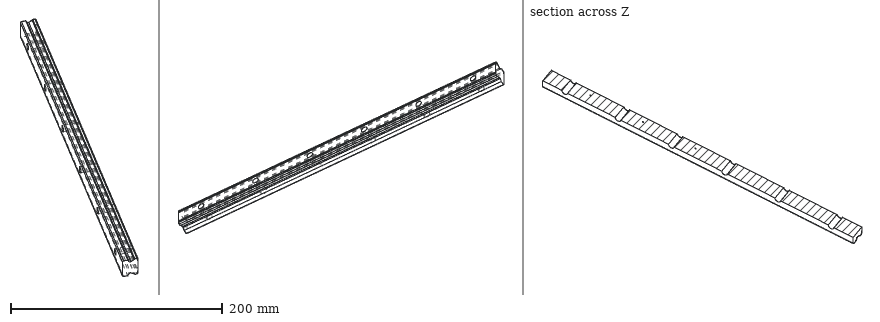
import cadquery as cq
import math

RAIL_LENGTH = 350.0
RAIL_HEIGHT = 15.5
RAIL_WIDTH = 20.0

FOOT_CHAMFER = 1.1
FOOT_FLANK_END = 5.25
GROOVE_FLOOR_DEPTH = 2.8
GROOVE_FLOOR_END = 8.3
RACEWAY_END = 11.55
HEAD_FLANK_START = 12.2
HEAD_CHAMFER = 1.2

RACEWAY_ANGLE = 30.0
RACEWAY_SLOPE = math.tan(math.radians(RACEWAY_ANGLE))
GROOVE_FLOOR_START = FOOT_FLANK_END + GROOVE_FLOOR_DEPTH * RACEWAY_SLOPE
RACEWAY_END_DEPTH = GROOVE_FLOOR_DEPTH - (RACEWAY_END - GROOVE_FLOOR_END) * RACEWAY_SLOPE

HEAD_GROOVE_START = 1.7
HEAD_GROOVE_END = 3.6
HEAD_GROOVE_DEPTH = 0.5

HOLE_DIAMETER = 6.0
HOLE_PITCH = 60.0
HOLE_COUNT = 6


def half_section():
    """Half of the cross-section, from the mid-plane Z = 0 up to one flank."""
    flank = RAIL_WIDTH / 2
    floor = flank - GROOVE_FLOOR_DEPTH
    head_groove_start = flank - HEAD_GROOVE_START
    head_groove_end = flank - HEAD_GROOVE_END
    head_groove_bottom = (
        RAIL_HEIGHT - HEAD_GROOVE_DEPTH,
        (head_groove_start + head_groove_end) / 2,
    )
    return (
        cq.Workplane("YZ")
        .lineTo(0, flank - FOOT_CHAMFER)
        .lineTo(FOOT_CHAMFER, flank)
        .lineTo(FOOT_FLANK_END, flank)
        .lineTo(GROOVE_FLOOR_START, floor)
        .lineTo(GROOVE_FLOOR_END, floor)
        .lineTo(RACEWAY_END, flank - RACEWAY_END_DEPTH)
        .lineTo(HEAD_FLANK_START, flank)
        .lineTo(RAIL_HEIGHT - HEAD_CHAMFER, flank)
        .lineTo(RAIL_HEIGHT, flank - HEAD_CHAMFER)
        .lineTo(RAIL_HEIGHT, head_groove_start)
        .threePointArc(head_groove_bottom, (RAIL_HEIGHT, head_groove_end))
        .lineTo(RAIL_HEIGHT, 0)
        .close()
    )


def rail_body():
    """Extrude the half section along X and mirror it across Z = 0."""
    half = half_section().extrude(RAIL_LENGTH / 2, both=True)
    return half.union(half.mirror("XY")).clean()


def mounting_holes():
    """Row of through holes along Y, centred on the rail length."""
    first_hole = -HOLE_PITCH * (HOLE_COUNT - 1) / 2
    centres = [(first_hole + i * HOLE_PITCH, 0) for i in range(HOLE_COUNT)]
    holes = cq.Workplane("XZ").pushPoints(centres).circle(HOLE_DIAMETER / 2)
    return holes.extrude(-RAIL_HEIGHT)


result = rail_body().cut(mounting_holes())